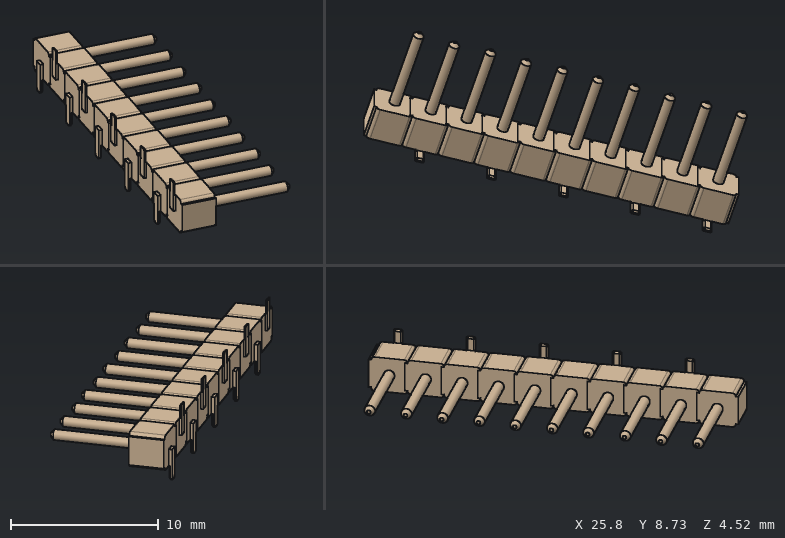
import cadquery as cq

contact_count = 10
pitch = 2.54

block_height = 2.54
block_depth = 2.5
edge_radius = 0.24
board_face_y = -block_depth / 2
mating_face_y = block_depth / 2

tongue_length = 0.18
tongue_height = block_height - 2 * edge_radius

pin_diameter = 0.76
pin_length = 5.99
pin_tip_chamfer = 0.25

tab_width = 0.64
tab_thickness = 0.16
tab_inner_z = 0.04
tab_outer_z = 2.26
tab_corner_chamfer = 0.1
tab_back_bevel = 0.12

contact_offset = 0.08


def side_tongue(side_x, direction):
    """Full-depth bar that runs in X from side_x, one tongue length along direction."""
    bar_x = side_x + direction * tongue_length / 2
    return cq.Workplane("XY").box(tongue_length, block_depth, tongue_height).translate((bar_x, 0, 0))


def insulator_block(center_x, is_first):
    """Round-edged block with a tongue on +X; on -X a recess, or a free tongue on the first block."""
    left_x = center_x - pitch / 2
    right_x = center_x + pitch / 2
    block = cq.Workplane("XY").box(pitch, block_depth, block_height).translate((center_x, 0, 0))
    block = block.edges("|Y").fillet(edge_radius)
    block = block.union(side_tongue(right_x, 1))
    if is_first:
        return block.union(side_tongue(left_x, -1))
    return block.cut(side_tongue(left_x, 1))


def pin(center_x, shift_y):
    """Round pin that rises from inside the block and ends in a chamfered tip on +Y."""
    tip_y = mating_face_y + pin_length - shift_y
    rod = cq.Workplane("XZ", origin=(center_x, 0, 0)).circle(pin_diameter / 2).extrude(-tip_y)
    return rod.faces(">Y").edges().chamfer(pin_tip_chamfer)


def solder_tab(center_x, direction, shift_y):
    """Flat tab on the board face that runs up (+1) or down (-1) past the block.

    The overhanging end has cut corners and a bevelled back; the root lies flat on the block.
    """
    thickness = tab_thickness + shift_y
    center_y = board_face_y - thickness / 2
    tab_height = tab_outer_z - tab_inner_z
    tab_center_z = direction * (tab_inner_z + tab_outer_z) / 2
    outer_face = ">Z" if direction > 0 else "<Z"
    tab = cq.Workplane("XY").box(tab_width, thickness, tab_height)
    tab = tab.faces(outer_face).edges("|Y").chamfer(tab_corner_chamfer)
    tab = tab.faces(">Y").edges().chamfer(tab_back_bevel)
    tab = tab.translate((center_x, center_y, tab_center_z))

    root_height = block_height / 2 - tab_inner_z
    root_center_z = direction * (tab_inner_z + block_height / 2) / 2
    root = cq.Workplane("XY").box(tab_width, thickness, root_height)
    return tab.union(root.translate((center_x, center_y, root_center_z)))


def contact_segment(index):
    """One body: block, pin and tab; tabs alternate, the first one pointing down."""
    center_x = (index - (contact_count - 1) / 2) * pitch
    tab_points_down = index % 2 == 0
    direction = -1 if tab_points_down else 1
    shift_y = contact_offset if tab_points_down else 0
    segment = insulator_block(center_x, index == 0)
    segment = segment.union(pin(center_x, shift_y))
    return segment.union(solder_tab(center_x, direction, shift_y))


segments = [contact_segment(index) for index in range(contact_count)]

result = cq.Compound.makeCompound([segment.val() for segment in segments])